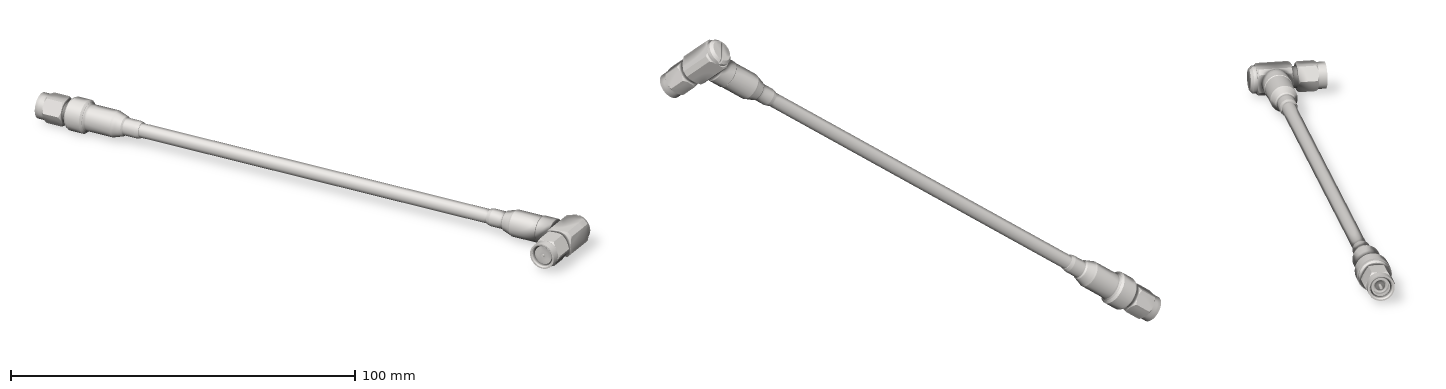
import cadquery as cq
import math


NUT_LENGTH = 8.6
NUT_FLATS = 7.9375
NUT_CORNERS = NUT_FLATS / math.cos(math.pi / 6)
NUT_LIP_LENGTH = 2.5
NUT_LIP_RADIUS = 3.95
NUT_CORNER_BEVEL = 0.55
NUT_BORE_RADIUS = 3.2
NUT_MOUTH_BEVEL = 0.3

BARREL_START = 0.8
BARREL_RADIUS = 2.75
NECK_START = 6.5
NECK_RADIUS = NUT_BORE_RADIUS
PIN_RADIUS = 0.46
PIN_START = 0.3
PIN_END = 8.0

SOCKET_RADIUS = 2.3
SOCKET_FLOOR = 1.6
INSULATOR_HOLE_RADIUS = 1.5
INSULATOR_MOUTH_RADIUS = 1.9
INSULATOR_HOLE_DEPTH = 1.0
COLLAR_START = 9.8
COLLAR_BEVEL = 0.5
COLLAR_STEP_RADIUS = 4.75
COLLAR_STEP_END = 11.0
COLLAR_RADIUS = 10.19 / 2
COLLAR_END = 15.9
COLLAR_REAR_BEVEL = 0.6
COLLAR_REAR_RADIUS = 4.4
STRAIGHT_BODY_END = 16.4

SLEEVE_RADIUS = 4.05
SLEEVE_BEVEL_LENGTH = 0.5
SLEEVE_BEVEL_RADIUS = 3.85
SLEEVE_BODY_LENGTH = 9.0
SLEEVE_CONE_LENGTH = 2.9
SLEEVE_SHOULDER = 0.4
SLEEVE_NECK_RADIUS = 2.65
SLEEVE_NECK_LENGTH = 5.1
SLEEVE_TIP_LENGTH = 1.1
CABLE_RADIUS = 2.15
SLEEVE_TIP_RADIUS = 2.4

ASSEMBLY_LENGTH = 179.35
ASSEMBLY_WIDTH = 22.49
ELBOW_X = ASSEMBLY_LENGTH - NUT_CORNERS / 2
ELBOW_TOP = 7.2
ELBOW_FRONT = ELBOW_TOP - ASSEMBLY_WIDTH
ELBOW_WIDTH = 8.1
ELBOW_CORNER_BEVEL = 1.3
ELBOW_BLOCK_BOTTOM = -5.4
ELBOW_BLOCK_TOP = 5.3
ELBOW_END_BEVEL = 0.5
ELBOW_STEM_START = 166.1
ELBOW_STEM_RADIUS = 4.2
ELBOW_STEM_BEVEL = 0.3
CAP_RADIUS = ELBOW_WIDTH / 2
CAP_BEVEL = 0.8
CAP_SLOT_WIDTH = 0.8
CAP_SLOT_DEPTH = 1.2


def turned(profile):
    """Solid of revolution about X from (x, radius) points; the profile closes along the axis."""
    points = [(profile[0][0], 0), *profile, (profile[-1][0], 0)]
    return cq.Workplane("XY").polyline(points).close().revolve(360, (0, 0, 0), (1, 0, 0))


def rod(start, end, radius):
    return turned([(start, radius), (end, radius)])


def at_elbow(part):
    """Move a plug part from the X axis to the right-angle plug, with its front face toward -Y."""
    return part.rotate((0, 0, 0), (0, 0, 1), 90).translate((ELBOW_X, ELBOW_FRONT, 0))


def make_nut():
    hexagon = (
        cq.Workplane("YZ", origin=(NUT_LIP_LENGTH, 0, 0))
        .polygon(6, NUT_CORNERS)
        .extrude(NUT_LENGTH - NUT_LIP_LENGTH)
    )
    corner = NUT_CORNERS / 2
    envelope = turned([
        (NUT_LIP_LENGTH, corner - NUT_CORNER_BEVEL),
        (NUT_LIP_LENGTH + NUT_CORNER_BEVEL, corner),
        (NUT_LENGTH - NUT_CORNER_BEVEL, corner),
        (NUT_LENGTH, corner - NUT_CORNER_BEVEL),
    ])
    lip = rod(0, NUT_LIP_LENGTH, NUT_LIP_RADIUS)
    bore = turned([
        (0, NUT_BORE_RADIUS + NUT_MOUTH_BEVEL),
        (NUT_MOUTH_BEVEL, NUT_BORE_RADIUS),
        (NUT_LENGTH, NUT_BORE_RADIUS),
    ])
    return hexagon.intersect(envelope).union(lip).cut(bore)


def make_mating_barrel(end):
    """Front barrel and neck of a plug, up to `end` on the plug axis."""
    return turned([
        (BARREL_START, BARREL_RADIUS),
        (NECK_START, BARREL_RADIUS),
        (NECK_START, NECK_RADIUS),
        (end, NECK_RADIUS),
    ])


def make_pin():
    return rod(PIN_START, PIN_END, PIN_RADIUS)


def make_straight_body():
    collar = turned([
        (COLLAR_START, COLLAR_STEP_RADIUS - COLLAR_BEVEL),
        (COLLAR_START + COLLAR_BEVEL, COLLAR_STEP_RADIUS),
        (COLLAR_STEP_END, COLLAR_STEP_RADIUS),
        (COLLAR_STEP_END, COLLAR_RADIUS),
        (COLLAR_END - COLLAR_REAR_BEVEL, COLLAR_RADIUS),
        (COLLAR_END, COLLAR_RADIUS - COLLAR_REAR_BEVEL),
        (COLLAR_END, COLLAR_REAR_RADIUS),
        (STRAIGHT_BODY_END, SLEEVE_RADIUS),
    ])
    socket = rod(BARREL_START, SOCKET_FLOOR, SOCKET_RADIUS)
    insulator_hole = turned([
        (SOCKET_FLOOR, INSULATOR_MOUTH_RADIUS),
        (SOCKET_FLOOR + INSULATOR_MOUTH_RADIUS - INSULATOR_HOLE_RADIUS, INSULATOR_HOLE_RADIUS),
        (SOCKET_FLOOR + INSULATOR_HOLE_DEPTH, INSULATOR_HOLE_RADIUS),
    ])
    body = make_mating_barrel(COLLAR_START).union(collar)
    return body.cut(socket).cut(insulator_hole).cut(make_pin())


def make_sleeve():
    """Sleeve with its wide end at x = 0 and its cable end toward +X, bored for the cable."""
    cone_end = SLEEVE_BODY_LENGTH + SLEEVE_CONE_LENGTH
    length = cone_end + SLEEVE_NECK_LENGTH
    outside = turned([
        (0, SLEEVE_RADIUS),
        (SLEEVE_BODY_LENGTH - SLEEVE_BEVEL_LENGTH, SLEEVE_RADIUS),
        (SLEEVE_BODY_LENGTH, SLEEVE_BEVEL_RADIUS),
        (cone_end - SLEEVE_SHOULDER, SLEEVE_NECK_RADIUS + SLEEVE_SHOULDER),
        (cone_end, SLEEVE_NECK_RADIUS),
        (length - SLEEVE_TIP_LENGTH, SLEEVE_NECK_RADIUS),
        (length, SLEEVE_TIP_RADIUS),
    ])
    return outside.cut(rod(0, length, CABLE_RADIUS))


def make_elbow_body():
    height = ELBOW_BLOCK_TOP - ELBOW_BLOCK_BOTTOM
    block = (
        cq.Workplane("XY")
        .box(height, ELBOW_WIDTH, ELBOW_WIDTH)
        .edges("|X")
        .chamfer(ELBOW_CORNER_BEVEL)
        .translate((ELBOW_BLOCK_BOTTOM - ELBOW_FRONT + height / 2, 0, 0))
    )
    bottom = ELBOW_BLOCK_BOTTOM - ELBOW_FRONT
    cap_start = ELBOW_BLOCK_TOP - ELBOW_FRONT
    cap_end = ELBOW_TOP - ELBOW_FRONT
    corner = math.hypot(ELBOW_WIDTH / 2, ELBOW_WIDTH / 2 - ELBOW_CORNER_BEVEL)
    envelope = turned([
        (bottom, corner - 2 * ELBOW_END_BEVEL),
        (bottom + ELBOW_END_BEVEL, corner),
        (cap_start - ELBOW_END_BEVEL, corner),
        (cap_start, corner - ELBOW_END_BEVEL),
    ])
    cap = turned([
        (cap_start, CAP_RADIUS),
        (cap_end - CAP_BEVEL, CAP_RADIUS),
        (cap_end, CAP_RADIUS - CAP_BEVEL),
    ])
    slot = (
        cq.Workplane("XY")
        .box(CAP_SLOT_DEPTH, CAP_SLOT_WIDTH, 2 * CAP_RADIUS)
        .translate((cap_end - CAP_SLOT_DEPTH / 2, 0, 0))
    )
    column = block.intersect(envelope).union(cap).cut(slot)
    column = column.union(make_mating_barrel(bottom)).cut(make_pin())
    stem = turned([
        (ELBOW_STEM_START, ELBOW_STEM_RADIUS - ELBOW_STEM_BEVEL),
        (ELBOW_STEM_START + ELBOW_STEM_BEVEL, ELBOW_STEM_RADIUS),
        (ELBOW_X - ELBOW_WIDTH / 2, ELBOW_STEM_RADIUS),
    ])
    return at_elbow(column).union(stem)


straight_nut = make_nut()
straight_body = make_straight_body()
straight_pin = make_pin()
straight_sleeve = make_sleeve().translate((STRAIGHT_BODY_END, 0, 0))

elbow_nut = at_elbow(make_nut())
elbow_body = make_elbow_body()
elbow_pin = at_elbow(make_pin())
elbow_sleeve = make_sleeve().mirror("YZ").translate((ELBOW_STEM_START, 0, 0))

cable = rod(STRAIGHT_BODY_END, ELBOW_STEM_START, CABLE_RADIUS)

bodies = [
    straight_nut,
    straight_body,
    straight_pin,
    straight_sleeve,
    elbow_nut,
    elbow_body,
    elbow_pin,
    elbow_sleeve,
    cable,
]
result = cq.Compound.makeCompound([body.val() for body in bodies])